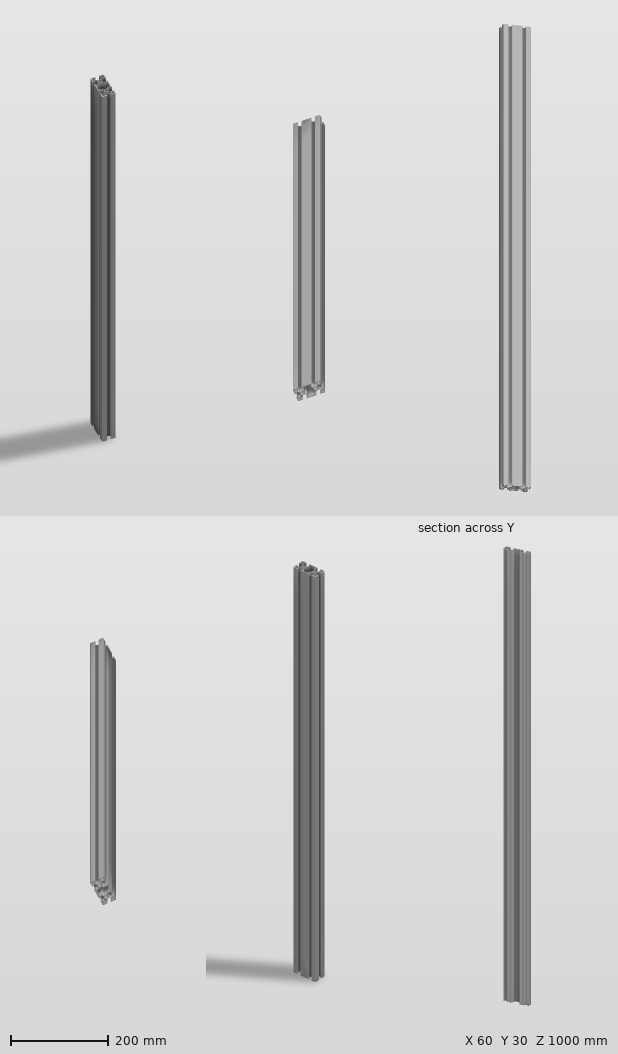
import cadquery as cq

MODULE = 30.0
LENGTH = 1000.0
CORNER_ROUND = 1.0
WALL = 2.0

SLOT_OPENING = 7.8
LIP_ROUND = 0.6
LIP_THICKNESS = 2.3
SLOT_HALF_WIDTH = 6.6
SLOPE_DEPTH = 8.3
CORE_HALF = 4.3

BORE_DIAMETER = 7.3
WEB = 1.0
CORNER_HOLE = 5.8
HOLE_CHAMFER = 2.0

width = 2 * MODULE
half_module = MODULE / 2
slot_depth = half_module - CORE_HALF


def symmetric_prism(half_outline):
    """Full-length prism from the +X half of an outline that is mirrored across the Y axis."""
    mirror_half = [(-x, y) for x, y in reversed(half_outline)]
    return cq.Workplane("XY").polyline(half_outline + mirror_half).close().extrude(LENGTH)


def make_bar():
    bar = cq.Workplane("XY").rect(width, MODULE).extrude(LENGTH)
    return bar.edges("|Z").fillet(CORNER_ROUND)


def make_slot():
    """Slot that opens toward +Y, with its mouth centered on the origin."""
    half_floor = SLOT_HALF_WIDTH - (slot_depth - SLOPE_DEPTH)
    cavity = symmetric_prism(
        [
            (SLOT_HALF_WIDTH, -LIP_THICKNESS),
            (SLOT_HALF_WIDTH, -SLOPE_DEPTH),
            (half_floor, -slot_depth),
        ]
    )
    half_opening = SLOT_OPENING / 2
    half_flare = half_opening + LIP_ROUND
    mouth = (
        cq.Workplane("XY")
        .moveTo(-half_flare, 0)
        .radiusArc((-half_opening, -LIP_ROUND), LIP_ROUND)
        .lineTo(-half_opening, -SLOPE_DEPTH)
        .lineTo(half_opening, -SLOPE_DEPTH)
        .lineTo(half_opening, -LIP_ROUND)
        .radiusArc((half_flare, 0), LIP_ROUND)
        .close()
        .extrude(LENGTH)
    )
    return cavity.union(mouth)


def make_central_hollow():
    """Hollow between the modules, widened at mid height up to the two cores."""
    half_width = half_module - SLOT_HALF_WIDTH - WEB
    half_height = half_module - WALL
    half_waist = half_module - CORE_HALF
    slope_start = half_module - SLOPE_DEPTH
    slope_end = slope_start - (half_waist - half_width)
    return symmetric_prism(
        [
            (half_width, half_height),
            (half_width, slope_start),
            (half_waist, slope_end),
            (half_waist, -slope_end),
            (half_width, -slope_start),
            (half_width, -half_height),
        ]
    )


def make_corner_holes():
    """Four square holes, each with the corner nearest its module center cut off."""
    center_x = MODULE - WALL - CORNER_HOLE / 2
    center_y = half_module - WALL - CORNER_HOLE / 2
    hole = cq.Workplane("XY").center(center_x, center_y).rect(CORNER_HOLE, CORNER_HOLE).extrude(LENGTH)
    hole = hole.edges("|Z and <X and <Y").chamfer(HOLE_CHAMFER)
    pair = hole.union(hole.mirror("YZ"))
    return pair.union(pair.mirror("XZ"))


slot_places = [(-MODULE, 0, 90), (MODULE, 0, -90)]
for module_x in (-half_module, half_module):
    slot_places.append((module_x, half_module, 0))
    slot_places.append((module_x, -half_module, 180))

result = make_bar()
slot = make_slot()
for x, y, turn in slot_places:
    result = result.cut(slot.rotate((0, 0, 0), (0, 0, 1), turn).translate((x, y, 0)))

result = result.cut(make_central_hollow())
result = result.cut(make_corner_holes())
bore_centers = [(-half_module, 0), (half_module, 0)]
bores = cq.Workplane("XY").pushPoints(bore_centers).circle(BORE_DIAMETER / 2).extrude(LENGTH)
result = result.cut(bores)